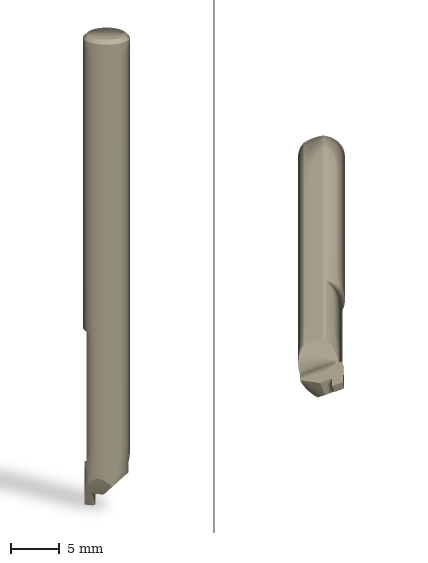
import cadquery as cq
import math

total_length = 50.8
shank_radius = 2.4
flat_y = 2.15
top_chamfer = 0.4

neck_top = 19.15
head_top = 4.55
neck_depth = 0.485
neck_relief_y = -1.85
neck_arc_radius = 3.85

rake_top = 5.0
rake_slope_top = 6.9
side_relief = 0.37

heel_height = 3.6
tip_thickness = 0.8
tip_relief_height = 0.15

tip_width = 1.2
ledge_height = 1.7
ledge_end_x = 0.2
end_fillet = 0.25

overshoot = 2.55
outside = shank_radius + overshoot


def extrude_along_x(points):
    """Solid from a YZ outline, spanning the full bar width."""
    return cq.Workplane("YZ").polyline(points).close().extrude(outside, both=True)


def make_shank():
    bar = cq.Workplane("XY").circle(shank_radius).extrude(total_length)
    bar = bar.faces(">Z").chamfer(top_chamfer)
    keep_width = flat_y + outside
    keep = cq.Workplane("XY").box(2 * outside, keep_width, total_length, centered=(True, False, False))
    return bar.intersect(keep.translate((0, -outside, 0)))


def make_neck_cut():
    """Removes the -X side outside a flatter arc (+Y half) and a slanted plane (-Y half)."""
    edge_x = neck_depth - shank_radius
    relief_x = -math.sqrt(shank_radius**2 - neck_relief_y**2)
    relief_slope = (relief_x - edge_x) / neck_relief_y
    outer_y = -outside
    arc_center_x = edge_x + neck_arc_radius
    middle = neck_arc_radius * math.sqrt(0.5)
    return (
        cq.Workplane("XY", origin=(0, 0, head_top))
        .moveTo(edge_x, 0)
        .threePointArc((arc_center_x - middle, middle), (arc_center_x, neck_arc_radius))
        .lineTo(-outside, neck_arc_radius)
        .lineTo(-outside, outer_y)
        .lineTo(edge_x + relief_slope * outer_y, outer_y)
        .close()
        .extrude(neck_top - head_top)
    )


def make_side_relief_cut():
    """Slants the -X face of the head inward behind the rake face."""
    relief_end_x = -shank_radius + side_relief * outside
    points = [(-shank_radius, 0), (relief_end_x, -outside), (-outside, -outside), (-outside, 0)]
    return cq.Workplane("XY").polyline(points).close().extrude(head_top)


def make_rake_cut():
    """Clears the +Y half below a sloped shoulder, leaving the rake face."""
    slope = (rake_slope_top - rake_top) / flat_y
    outer_z = rake_top + slope * outside
    return extrude_along_x([(0, -overshoot), (0, rake_top), (outside, outer_z), (outside, -overshoot)])


def make_heel_cut():
    """Slopes the -Y side toward the tip and relieves its bottom face."""
    slope = (heel_height - tip_relief_height) / (shank_radius - tip_thickness)
    outer_z = tip_relief_height + slope * (outside - tip_thickness)
    points = [
        (0, 0),
        (-tip_thickness, tip_relief_height),
        (-outside, outer_z),
        (-outside, -overshoot),
        (0, -overshoot),
    ]
    return extrude_along_x(points)


def make_end_cut():
    """Narrows the end to the tip, a ledge and a 45 degree chamfer."""
    tip_x = tip_width - shank_radius
    points = [
        (tip_x, -overshoot),
        (tip_x, ledge_height),
        (ledge_end_x, ledge_height),
        (outside, ledge_height + outside - ledge_end_x),
        (outside, -overshoot),
    ]
    cut = cq.Workplane("XZ").polyline(points).close().extrude(outside, both=True)
    corner = cq.selectors.NearestToPointSelector((tip_x, 0, ledge_height))
    return cut.edges("|Y").edges(corner).fillet(end_fillet)


result = make_shank()
for cut in (make_neck_cut(), make_side_relief_cut(), make_rake_cut(), make_heel_cut(), make_end_cut()):
    result = result.cut(cut)